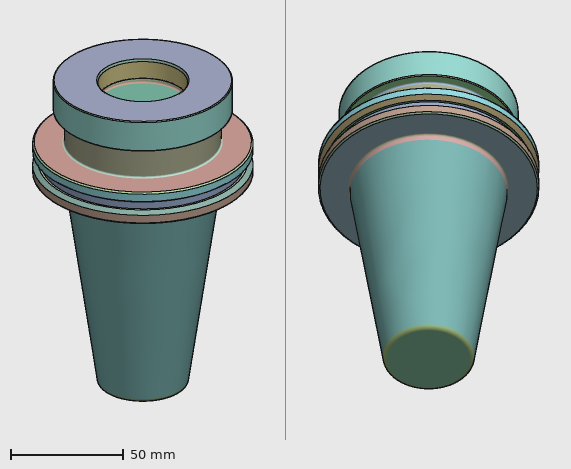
import cadquery as cq
import math

total_height = 151.6
gauge_height = 101.5
flange_bottom = 104.8
flange_top = 120.7
collar_height = 15.0
collar_bottom = total_height - collar_height

flange_diameter = 98.4
flange_radius = flange_diameter / 2
collar_radius = 40.0
neck_radius = 35.0
groove_radius = 45.8
bore_radius = 20.0

taper_slope = 7 / 48
tip_radius = neck_radius - taper_slope * gauge_height

groove_floor_bottom = 110.8
groove_floor_top = 114.8
groove_flank_height = 1.5
groove_ledge_radius = 46.8

tip_fillet = 2.0
collar_chamfer = 0.5
flange_chamfer = 0.8
root_fillet = 0.8

bore_depth = 12.0
bore_wall_depth = 9.5
bore_chamfer_width = 0.6
bore_chamfer_height = 1.0
mouth_radius = bore_radius + bore_chamfer_width
relief_floor_fillet = 0.9

match_tolerance = 0.02


def body():
    """Revolve the taper, flange, neck and collar as one solid."""
    profile = (
        cq.Workplane("XZ")
        .lineTo(tip_radius, 0)
        .lineTo(neck_radius, gauge_height)
        .lineTo(neck_radius, flange_bottom)
        .lineTo(flange_radius, flange_bottom)
        .lineTo(flange_radius, groove_floor_bottom - groove_flank_height)
        .lineTo(groove_ledge_radius, groove_floor_bottom)
        .lineTo(groove_radius, groove_floor_bottom)
        .lineTo(groove_radius, groove_floor_top)
        .lineTo(groove_ledge_radius, groove_floor_top)
        .lineTo(flange_radius, groove_floor_top + groove_flank_height)
        .lineTo(flange_radius, flange_top)
        .lineTo(neck_radius, flange_top)
        .lineTo(neck_radius, collar_bottom)
        .lineTo(collar_radius, collar_bottom)
        .lineTo(collar_radius, total_height)
        .lineTo(0, total_height)
        .close()
    )
    return profile.revolve(360, (0, 0, 0), (0, 1, 0))


def circles(part, *places):
    """Pick the circular edges lying at the given (radius, height) places."""

    def is_wanted(edge):
        if edge.geomType() != "CIRCLE":
            return False
        radius_and_height = (edge.radius(), edge.Center().z)
        return any(math.dist(radius_and_height, place) < match_tolerance for place in places)

    return part.edges().filter(is_wanted)


def bore():
    """Blind bore with a countersunk mouth and a round-bottomed relief groove above its floor."""
    relief_top = total_height - bore_wall_depth
    floor_height = total_height - bore_depth
    profile = (
        cq.Workplane("XZ")
        .moveTo(0, total_height)
        .lineTo(mouth_radius, total_height)
        .lineTo(bore_radius, total_height - bore_chamfer_height)
        .lineTo(bore_radius, relief_top)
        .lineTo(mouth_radius, relief_top)
        .lineTo(mouth_radius, floor_height)
        .lineTo(0, floor_height)
        .close()
    )
    cutter = profile.revolve(360, (0, 0, 0), (0, 1, 0))
    return circles(cutter, (mouth_radius, floor_height)).fillet(relief_floor_fillet)


def break_edges(part):
    """Fillet the inner corners of the neck, chamfer the flange and collar, and round the tip."""
    part = circles(
        part,
        (neck_radius, flange_bottom),
        (neck_radius, flange_top),
        (neck_radius, collar_bottom),
    ).fillet(root_fillet)
    part = circles(part, (flange_radius, flange_bottom), (flange_radius, flange_top)).chamfer(flange_chamfer)
    part = circles(part, (collar_radius, collar_bottom), (collar_radius, total_height)).chamfer(collar_chamfer)
    return circles(part, (tip_radius, 0)).fillet(tip_fillet)


result = break_edges(body()).cut(bore())